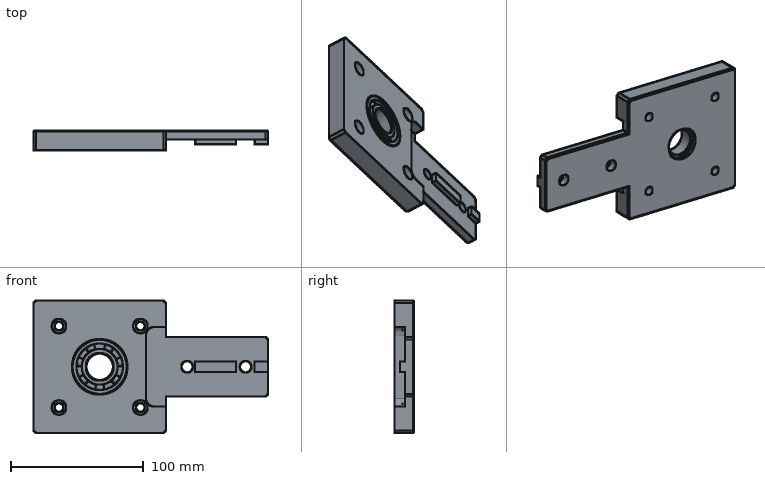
import cadquery as cq

total_length = 177.0
plate_size = 100.0
plate_depth = 15.0
corner_chamfer = 2.0
back_chamfer = 1.0

arm_width = 45.1
arm_depth = 7.0
recess_length = 15.0
recess_width = 60.0
recess_corner_radius = 6.0

key_width = 8.1
key_height = 3.5
long_key_start = 122.0
long_key_length = 31.0
end_key_length = 10.1
arm_hole_diameter = 8.5
arm_hole_positions = (116.0, 160.0)

mount_pitch = 61.5
mount_hole_diameter = 6.5
counterbore_diameter = 11.0
counterbore_depth = 6.4

bearing_outer_diameter = 42.0
bearing_bore = 20.0
bearing_width = 12.0
outer_ring_inner_diameter = 35.0
inner_ring_outer_diameter = 27.0
ring_chamfer = 0.5
ball_diameter = 6.5
shaft_hole_diameter = 25.0
ball_count = 7

plate_center = plate_size / 2
ball_circle_radius = (outer_ring_inner_diameter + inner_ring_outer_diameter) / 4


def front_plane(front_y):
    """Sketch plane facing -Y, with its origin at the bearing axis."""
    return cq.Workplane("XZ", origin=(plate_center, front_y, 0))


def from_axis(x):
    """Turn a position from the plate's left side into one from the bearing axis."""
    return x - plate_center


def disc(diameter, front_y, depth):
    """Cylinder on the bearing axis, running back from front_y."""
    return front_plane(front_y).circle(diameter / 2).extrude(-depth)


def make_blank():
    """Square plate with its arm, bevelled at the corners and around the back."""
    plate = front_plane(0).rect(plate_size, plate_size).extrude(plate_depth)
    plate = plate.edges("|Y").chamfer(corner_chamfer)
    arm_length = total_length - plate_center
    arm = (
        front_plane(0)
        .center(arm_length / 2, 0)
        .rect(arm_length, arm_width)
        .extrude(arm_depth)
        .edges("|Y and >X")
        .chamfer(corner_chamfer)
    )
    return plate.union(arm).faces(">Y").edges().chamfer(back_chamfer)


def make_recess():
    """Cut at the arm's root, open to +X, with two rounded inner corners."""
    return (
        front_plane(-arm_depth)
        .center(from_axis(plate_size - recess_length / 2), 0)
        .rect(recess_length, recess_width)
        .extrude(plate_depth - arm_depth)
        .edges("|Y and <X")
        .fillet(recess_corner_radius)
    )


def make_key(start, length):
    """Rectangular key standing on the arm's front face."""
    return (
        front_plane(-arm_depth)
        .center(from_axis(start + length / 2), 0)
        .rect(length, key_width)
        .extrude(key_height)
    )


def make_housing():
    housing = make_blank().cut(make_recess())
    housing = housing.union(make_key(long_key_start, long_key_length))
    housing = housing.union(make_key(total_length - end_key_length, end_key_length))

    arm_holes = (
        front_plane(0)
        .pushPoints([(from_axis(x), 0) for x in arm_hole_positions])
        .circle(arm_hole_diameter / 2)
        .extrude(arm_depth)
    )
    mount_holes = (
        front_plane(-plate_depth)
        .rarray(mount_pitch, mount_pitch, 2, 2)
        .circle(mount_hole_diameter / 2)
        .extrude(-plate_depth)
    )
    counterbores = (
        front_plane(-plate_depth)
        .rarray(mount_pitch, mount_pitch, 2, 2)
        .circle(counterbore_diameter / 2)
        .extrude(-counterbore_depth)
    )
    housing = housing.cut(arm_holes).cut(mount_holes).cut(counterbores)

    seat = disc(bearing_outer_diameter, -plate_depth, bearing_width)
    shaft_hole = disc(shaft_hole_diameter, -plate_depth, plate_depth)
    return housing.cut(seat).cut(shaft_hole)


def make_ring(outer_diameter, inner_diameter):
    """Plain bearing ring, flush with the plate's front face."""
    ring = disc(outer_diameter, -plate_depth, bearing_width)
    return ring.cut(disc(inner_diameter, -plate_depth, bearing_width))


def make_bearing():
    """Two rings joined by the balls that sit between them, as one solid."""
    outer_ring = make_ring(bearing_outer_diameter, outer_ring_inner_diameter)
    outer_ring = outer_ring.edges(cq.selectors.RadiusNthSelector(-1)).chamfer(ring_chamfer)
    inner_ring = make_ring(inner_ring_outer_diameter, bearing_bore)
    inner_ring = inner_ring.edges(cq.selectors.RadiusNthSelector(0)).chamfer(ring_chamfer)

    bearing = inner_ring
    middle_y = bearing_width / 2 - plate_depth
    first_ball = cq.Workplane("XY").sphere(ball_diameter / 2)
    first_ball = first_ball.translate((plate_center, middle_y, -ball_circle_radius))

    axis_start = (plate_center, 0, 0)
    axis_end = (plate_center, 1, 0)
    for index in range(ball_count):
        ball = first_ball.rotate(axis_start, axis_end, index * 360 / ball_count)
        bearing = bearing.union(ball)
    return bearing.union(outer_ring)


housing = make_housing()
bearing = make_bearing()
result = cq.Compound.makeCompound([housing.val(), bearing.val()])